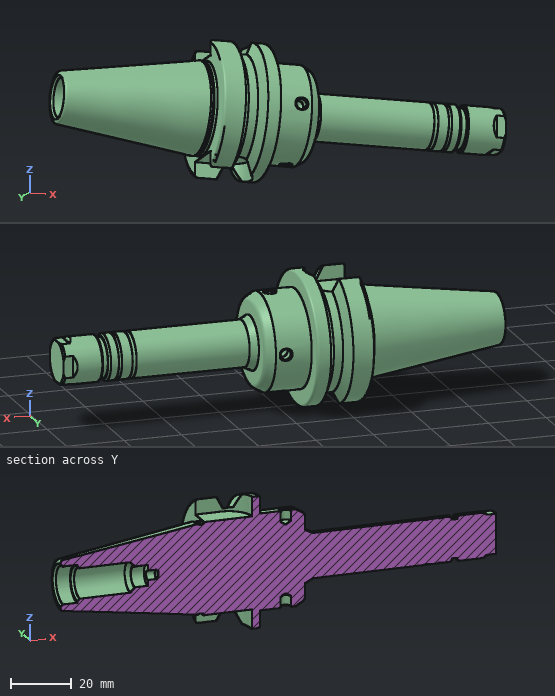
import cadquery as cq
import math


TOTAL_LENGTH = 153.4
TAPER_RATIO = 7 / 24
GAUGE_DIAMETER = 31.8
TAPER_LENGTH = 48.2
TAIL_ROUND = 0.9
RELIEF_DIAMETER = 31.0
RELIEF_SLOPE_LENGTH = 0.9
RELIEF_WIDTH = 1.4

FLANGE_DIAMETER = 46.0
FLANGE_START = 50.5
FLANGE_WIDTH = 20.0
FLANGE_ROUND = 0.9
GROOVE_DIAMETER = 38.2
GROOVE_CENTER = 61.8
GROOVE_FLOOR_WIDTH = 3.2
GROOVE_SIDE_ANGLE = 30.0

SLOT_WIDTH = 16.1
SLOT_LENGTH = 16.9
SLOT_FLOOR_HEIGHT = 16.3

COLLAR_DIAMETER = 33.9
COLLAR_END = 86.2
COLLAR_CHAMFER_LENGTH = 3.4
COLLAR_CHAMFER_ANGLE = 30.0
COLLAR_ROUND = 2.0
SIDE_HOLE_X = 79.3
SIDE_HOLE_MOUTH_DIAMETER = 4.5
SIDE_HOLE_DIAMETER = 3.5
SIDE_HOLE_DEPTH = 3.8
DRILL_TIP_ANGLE = 118.0

SHANK_DIAMETER = 16.0
NECK_DIAMETER = 18.7
NECK_LENGTH = 2.8
SHANK_END = 137.9
SHANK_CHAMFER = 0.8
RING_GROOVES = ((128.2, 1.4), (133.3, 1.0))
RING_GROOVE_DEPTH = 0.2
THREAD_DIAMETER = 13.7

NUT_START = 139.7
NUT_BACK_CHAMFER = 0.5
NUT_FRONT_CHAMFER = 0.6
FLAT_HEIGHT = 7.0
FLAT_LENGTH = 3.2
FLAT_RUNOUT_LENGTH = 1.4

MOUTH_DIAMETER = 14.7
PILOT_DIAMETER = 13.0
PILOT_DEPTH = 5.8
SEAT_DIAMETER = 12.0
SEAT_CONE_LENGTH = 0.9
THREAD_BORE_DIAMETER = 10.5
THREAD_BORE_DEPTH = 24.5
THREAD_CONE_END_DIAMETER = 7.4
THROAT_DIAMETER = 7.0
THROAT_DEPTH = 30.7
CENTER_HOLE_DIAMETER = 3.0
CENTER_HOLE_DEPTH = 33.7
CENTER_TIP_DIAMETER = 1.7

FLANGE_END = FLANGE_START + FLANGE_WIDTH


def revolve_about_x(points):
    """Turn an (x, radius) outline, closed along the axis, into a solid."""
    outline = [(points[0][0], 0)] + points + [(points[-1][0], 0)]
    return cq.Workplane("XY").polyline(outline).close().revolve(360, (0, 0, 0), (1, 0, 0))


def round_circle_at(body, x, radius, size):
    """Round the circular edge centred on the axis at x with the given radius."""
    tolerance = 0.02
    selector = cq.selectors.BoxSelector(
        (x - tolerance, -radius - tolerance, -radius - tolerance),
        (x + tolerance, radius + tolerance, radius + tolerance),
        boundingbox=True,
    )
    edges = [e for e in body.edges(selector).vals() if abs(e.BoundingBox().zmax - radius) < tolerance]
    return body.newObject(edges).fillet(size)


def make_taper():
    large_radius = GAUGE_DIAMETER / 2
    small_radius = large_radius - TAPER_LENGTH * TAPER_RATIO / 2
    relief_radius = RELIEF_DIAMETER / 2
    relief_end = TAPER_LENGTH + RELIEF_WIDTH
    taper = revolve_about_x([
        (0, small_radius),
        (TAPER_LENGTH, large_radius),
        (TAPER_LENGTH + RELIEF_SLOPE_LENGTH, relief_radius),
        (relief_end, relief_radius),
        (FLANGE_START, large_radius),
    ])
    return round_circle_at(taper, 0, small_radius, TAIL_ROUND)


def make_flange():
    rim = FLANGE_DIAMETER / 2
    floor = GROOVE_DIAMETER / 2
    half_floor = GROOVE_FLOOR_WIDTH / 2
    half_mouth = half_floor + (rim - floor) * math.tan(math.radians(GROOVE_SIDE_ANGLE))
    flange = revolve_about_x([
        (FLANGE_START, rim),
        (GROOVE_CENTER - half_mouth, rim),
        (GROOVE_CENTER - half_floor, floor),
        (GROOVE_CENTER + half_floor, floor),
        (GROOVE_CENTER + half_mouth, rim),
        (FLANGE_END, rim),
    ])
    for face_x in (FLANGE_START, FLANGE_END):
        flange = round_circle_at(flange, face_x, rim, FLANGE_ROUND)
    return flange


def make_drive_slot(side):
    """Round-ended slot cutter above (side=1) or below (side=-1) the axis."""
    half_width = SLOT_WIDTH / 2
    slot_end = FLANGE_START + SLOT_LENGTH
    return (
        cq.Workplane("XY", origin=(0, 0, side * SLOT_FLOOR_HEIGHT))
        .moveTo(FLANGE_START, -half_width)
        .lineTo(slot_end - half_width, -half_width)
        .threePointArc((slot_end, 0), (slot_end - half_width, half_width))
        .lineTo(FLANGE_START, half_width)
        .close()
        .extrude(side * FLANGE_DIAMETER)
    )


def make_collar():
    radius = COLLAR_DIAMETER / 2
    face_radius = radius - COLLAR_CHAMFER_LENGTH * math.tan(math.radians(COLLAR_CHAMFER_ANGLE))
    collar = revolve_about_x([
        (FLANGE_END, radius),
        (COLLAR_END - COLLAR_CHAMFER_LENGTH, radius),
        (COLLAR_END, face_radius),
    ])
    return round_circle_at(collar, COLLAR_END, face_radius, COLLAR_ROUND)


def make_side_hole():
    """Countersunk blind hole running down from the top of the collar."""
    top = COLLAR_DIAMETER / 2
    radius = SIDE_HOLE_DIAMETER / 2
    mouth = SIDE_HOLE_MOUTH_DIAMETER / 2
    sink_bottom = top - (mouth - radius)
    bottom = top - SIDE_HOLE_DEPTH
    tip = bottom - radius / math.tan(math.radians(DRILL_TIP_ANGLE / 2))
    return (
        cq.Workplane("XZ")
        .polyline([(0, top), (mouth, top), (radius, sink_bottom), (radius, bottom), (0, tip)])
        .close()
        .revolve(360, (0, 0, 0), (0, 1, 0))
        .translate((SIDE_HOLE_X, 0, 0))
    )


def make_shank():
    radius = SHANK_DIAMETER / 2
    outline = [(COLLAR_END, NECK_DIAMETER / 2), (COLLAR_END + NECK_LENGTH, radius)]
    for start, width in RING_GROOVES:
        floor = radius - RING_GROOVE_DEPTH
        outline += [(start, radius), (start, floor), (start + width, floor), (start + width, radius)]
    outline += [
        (SHANK_END - SHANK_CHAMFER, radius),
        (SHANK_END, radius - SHANK_CHAMFER),
        (SHANK_END, THREAD_DIAMETER / 2),
        (NUT_START, THREAD_DIAMETER / 2),
    ]
    return revolve_about_x(outline)


def make_nut():
    radius = SHANK_DIAMETER / 2
    nut = revolve_about_x([
        (NUT_START, radius - NUT_BACK_CHAMFER),
        (NUT_START + NUT_BACK_CHAMFER, radius),
        (TOTAL_LENGTH - NUT_FRONT_CHAMFER, radius),
        (TOTAL_LENGTH, radius - NUT_FRONT_CHAMFER),
    ])
    flat_start = TOTAL_LENGTH - FLAT_LENGTH
    flat_cutter = (
        cq.Workplane("XZ")
        .moveTo(TOTAL_LENGTH, FLAT_HEIGHT)
        .lineTo(flat_start, FLAT_HEIGHT)
        .lineTo(flat_start - FLAT_RUNOUT_LENGTH, radius)
        .lineTo(TOTAL_LENGTH, radius)
        .close()
        .extrude(radius, both=True)
    )
    for quarter in range(4):
        nut = nut.cut(flat_cutter.rotate((0, 0, 0), (1, 0, 0), 90 * quarter))
    return nut


def make_tail_bore():
    pilot = PILOT_DIAMETER / 2
    mouth = MOUTH_DIAMETER / 2
    thread = THREAD_BORE_DIAMETER / 2
    cone_end = THREAD_CONE_END_DIAMETER / 2
    cone_end_x = THREAD_BORE_DEPTH + thread - cone_end
    throat = THROAT_DIAMETER / 2
    center = CENTER_HOLE_DIAMETER / 2
    tip = CENTER_TIP_DIAMETER / 2
    return revolve_about_x([
        (0, mouth),
        (mouth - pilot, pilot),
        (PILOT_DEPTH, pilot),
        (PILOT_DEPTH, SEAT_DIAMETER / 2),
        (PILOT_DEPTH + SEAT_CONE_LENGTH, thread),
        (THREAD_BORE_DEPTH, thread),
        (cone_end_x, cone_end),
        (cone_end_x, throat),
        (THROAT_DEPTH, throat),
        (THROAT_DEPTH, center),
        (CENTER_HOLE_DEPTH, center),
        (CENTER_HOLE_DEPTH + center - tip, tip),
    ])


result = make_taper()
for section in (make_flange(), make_collar(), make_shank(), make_nut()):
    result = result.union(section)

for slot_side in (1, -1):
    result = result.cut(make_drive_slot(slot_side))

side_hole = make_side_hole()
for hole_quarter in range(4):
    result = result.cut(side_hole.rotate((0, 0, 0), (1, 0, 0), 90 * hole_quarter))

result = result.cut(make_tail_bore())